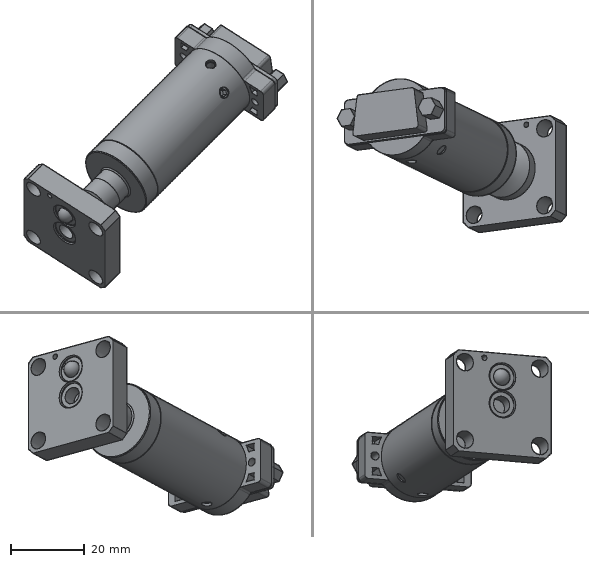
import cadquery as cq
import math


PLATE_SIDE = 28.5
PLATE_THICKNESS = 6.45
PLATE_CORNER_CHAMFER = 1.5
MOUNT_HOLE_DIAMETER = 4.8
MOUNT_HOLE_SPACING = 21.8
SMALL_HOLE_DIAMETER = 1.45
SMALL_HOLE_X = -5.25
SMALL_HOLE_Z = 12.6
HUB_RADIUS = 8.0
HUB_LENGTH = 3.2
ROD_RADIUS = 4.8
NECK_LENGTH = 5.2

BALL_RADIUS = 2.3
BALL_PROJECTION = 1.6
BALL_Z = 7.75
SOCKET_MOUTH_RADIUS = 3.55
SOCKET_MOUTH_DEPTH = 0.65
SOCKET_CHAMFER = 0.3
SOCKET_DEPTH = 4.8

HUB_CONE_Y = PLATE_THICKNESS + HUB_LENGTH
NECK_Y = HUB_CONE_Y + HUB_RADIUS - ROD_RADIUS
ROD_Y = NECK_Y + NECK_LENGTH
CAP_Y = 22.35
HOUSING_Y = 27.6
FLANGE_Y = 67.6
CONNECTOR_Y = 72.7
SHELL_Y = 73.8
SHELL_END_Y = 79.05

HOUSING_DIAMETER = 21.4
HOUSING_RADIUS = HOUSING_DIAMETER / 2
CAP_FRONT_CHAMFER = 0.25
CAP_BACK_CHAMFER = 0.2
CAP_LIP = 0.4

VENT_Y = 63.9
VENT_DIAMETER = 2.25
VENT_MOUTH_DIAMETER = 2.8
VENT_MOUTH_DEPTH = 0.8
SCREW_Y = 60.4
SCREW_DIAMETER = 3.1
SCREW_ANGLE = 45
SCREW_RECESS = 0.5
SCREW_SOCKET_FLATS = 1.9
SCREW_SOCKET_DEPTH = 1.6

EAR_SPAN = 31.0
EAR_HEIGHT = 13.0
EAR_RADIUS = 1.0
EAR_HOLE_DIAMETER = 2.25
EAR_POCKET_OUTER_X = 13.3
EAR_POCKET_LOW_Z = 3.3
EAR_POCKET_HIGH_Z = 5.4
EAR_POCKET_ARC_RADIUS = 11.9

CONNECTOR_HEIGHT = 12.6
CONNECTOR_CORNER_RADIUS = 1.3
SHELL_HEIGHT = 11.5
SHELL_MIDDLE_WIDTH = 18.95
SHELL_SIDE_ANGLE = 7
SHELL_CORNER_RADIUS = 0.8
NUT_X = 12.5
NUT_FLATS = 4.7
NUT_LENGTH = 4.75


def section(y):
    """Workplane across the axis at y; its local axes are X and Z, and -Y is its normal."""
    return cq.Workplane("XZ", origin=(0, y, 0))


def cylinder(radius, start, end):
    return section(start).circle(radius).extrude(start - end)


def revolve_about_y(profile):
    """Turn a profile of (radius, y) points around the main axis."""
    return cq.Workplane("XY").polyline(profile).close().revolve(360, (0, 0, 0), (0, 1, 0))


def hex_diameter(flats):
    """Corner-to-corner size of a hexagon with the given distance across flats."""
    return flats / math.cos(math.radians(30))


def make_socket(z):
    """Cutter for a blind hole with a chamfered shallow recess around its mouth."""
    socket = revolve_about_y([
        (0, 0),
        (SOCKET_MOUTH_RADIUS + SOCKET_CHAMFER, 0),
        (SOCKET_MOUTH_RADIUS, SOCKET_CHAMFER),
        (SOCKET_MOUTH_RADIUS, SOCKET_MOUTH_DEPTH),
        (BALL_RADIUS, SOCKET_MOUTH_DEPTH),
        (BALL_RADIUS, SOCKET_DEPTH),
        (0, SOCKET_DEPTH),
    ])
    return socket.translate((0, 0, z))


def make_tool_plate():
    plate = section(0).rect(PLATE_SIDE, PLATE_SIDE).extrude(-PLATE_THICKNESS)
    plate = plate.edges("|Y").chamfer(PLATE_CORNER_CHAMFER)
    neck = revolve_about_y([
        (0, PLATE_THICKNESS),
        (HUB_RADIUS, PLATE_THICKNESS),
        (HUB_RADIUS, HUB_CONE_Y),
        (ROD_RADIUS, NECK_Y),
        (ROD_RADIUS, ROD_Y),
        (0, ROD_Y),
    ])
    mount_holes = (
        section(0)
        .rect(MOUNT_HOLE_SPACING, MOUNT_HOLE_SPACING, forConstruction=True)
        .vertices()
        .circle(MOUNT_HOLE_DIAMETER / 2)
        .extrude(-PLATE_THICKNESS)
    )
    small_hole = (
        section(0)
        .center(SMALL_HOLE_X, SMALL_HOLE_Z)
        .circle(SMALL_HOLE_DIAMETER / 2)
        .extrude(-PLATE_THICKNESS)
    )
    plate = plate.union(neck).cut(mount_holes).cut(small_hole)
    for z in (0, BALL_Z):
        plate = plate.cut(make_socket(z))
    return plate


def make_ball():
    return cq.Workplane("XY").sphere(BALL_RADIUS).translate((0, BALL_RADIUS - BALL_PROJECTION, BALL_Z))


def make_rod():
    return cylinder(ROD_RADIUS, ROD_Y, HOUSING_Y)


def make_cap():
    cap = cylinder(HOUSING_RADIUS, CAP_Y, HOUSING_Y)
    cap = cap.faces("<Y").chamfer(CAP_FRONT_CHAMFER)
    cap = cap.faces(">Y").chamfer(CAP_BACK_CHAMFER)
    lip = revolve_about_y([
        (0, CAP_Y - CAP_LIP),
        (ROD_RADIUS, CAP_Y - CAP_LIP),
        (ROD_RADIUS + CAP_LIP, CAP_Y),
        (0, CAP_Y),
    ])
    return cap.union(lip).cut(make_rod())


def along_screw(solid):
    """Turn a solid built on the Z axis towards +X, +Z and move it to the set screw position."""
    return solid.rotate((0, 0, 0), (0, 1, 0), SCREW_ANGLE).translate((0, SCREW_Y, 0))


def make_housing():
    housing = cylinder(HOUSING_RADIUS, HOUSING_Y, FLANGE_Y)
    vent = (
        cq.Workplane("XY", origin=(0, VENT_Y, 0))
        .circle(VENT_DIAMETER / 2)
        .extrude(HOUSING_RADIUS, both=True)
    )
    screw_hole = cq.Workplane("XY").circle(SCREW_DIAMETER / 2).extrude(HOUSING_RADIUS, both=True)
    housing = housing.cut(vent).cut(along_screw(screw_hole))
    for side in (-1, 1):
        vent_mouth = (
            cq.Workplane("XY", origin=(0, VENT_Y, side * HOUSING_RADIUS))
            .circle(VENT_MOUTH_DIAMETER / 2)
            .extrude(-side * VENT_MOUTH_DEPTH)
        )
        housing = housing.cut(vent_mouth)
    return housing


def make_set_screw():
    """Long screw in the slanted hole, recessed at both ends, with a hexagonal key socket on top."""
    screw_top = HOUSING_RADIUS - SCREW_RECESS
    screw = (
        cq.Workplane("XY")
        .circle(SCREW_DIAMETER / 2)
        .extrude(screw_top, both=True)
    )
    key_socket = (
        cq.Workplane("XY", origin=(0, 0, screw_top))
        .polygon(6, hex_diameter(SCREW_SOCKET_FLATS))
        .extrude(-SCREW_SOCKET_DEPTH)
        .rotate((0, 0, 0), (0, 0, 1), 90)
    )
    return along_screw(screw.cut(key_socket))


def make_ear_pocket(side_x, side_z):
    """Pocket cutter whose inner side is an arc about the main axis."""
    low_x = math.sqrt(EAR_POCKET_ARC_RADIUS**2 - EAR_POCKET_LOW_Z**2)
    high_x = math.sqrt(EAR_POCKET_ARC_RADIUS**2 - EAR_POCKET_HIGH_Z**2)
    mid_z = (EAR_POCKET_LOW_Z + EAR_POCKET_HIGH_Z) / 2
    mid_x = math.sqrt(EAR_POCKET_ARC_RADIUS**2 - mid_z**2)
    return (
        section(FLANGE_Y)
        .moveTo(side_x * EAR_POCKET_OUTER_X, side_z * EAR_POCKET_LOW_Z)
        .lineTo(side_x * low_x, side_z * EAR_POCKET_LOW_Z)
        .threePointArc((side_x * mid_x, side_z * mid_z), (side_x * high_x, side_z * EAR_POCKET_HIGH_Z))
        .lineTo(side_x * EAR_POCKET_OUTER_X, side_z * EAR_POCKET_HIGH_Z)
        .close()
        .extrude(FLANGE_Y - CONNECTOR_Y)
    )


def make_flange():
    ears = section(FLANGE_Y).rect(EAR_SPAN, EAR_HEIGHT).extrude(FLANGE_Y - CONNECTOR_Y)
    flange = cylinder(HOUSING_RADIUS, FLANGE_Y, CONNECTOR_Y).union(ears)
    flange = flange.edges("|Y").fillet(EAR_RADIUS)
    for side_x in (-1, 1):
        bolt_hole = (
            section(FLANGE_Y)
            .center(side_x * NUT_X, 0)
            .circle(EAR_HOLE_DIAMETER / 2)
            .extrude(FLANGE_Y - CONNECTOR_Y)
        )
        flange = flange.cut(bolt_hole)
        for side_z in (-1, 1):
            flange = flange.cut(make_ear_pocket(side_x, side_z))
    return flange


def make_connector():
    base = section(CONNECTOR_Y).rect(EAR_SPAN, CONNECTOR_HEIGHT).extrude(CONNECTOR_Y - SHELL_Y)
    base = base.edges("|Y").fillet(CONNECTOR_CORNER_RADIUS)
    flare = SHELL_HEIGHT / 2 * math.tan(math.radians(SHELL_SIDE_ANGLE))
    top_x = SHELL_MIDDLE_WIDTH / 2 - flare
    bottom_x = SHELL_MIDDLE_WIDTH / 2 + flare
    shell = (
        section(SHELL_Y)
        .polyline([
            (-top_x, SHELL_HEIGHT / 2),
            (top_x, SHELL_HEIGHT / 2),
            (bottom_x, -SHELL_HEIGHT / 2),
            (-bottom_x, -SHELL_HEIGHT / 2),
        ])
        .close()
        .extrude(SHELL_Y - SHELL_END_Y)
        .edges("|Y")
        .fillet(SHELL_CORNER_RADIUS)
    )
    nuts = (
        section(SHELL_Y)
        .pushPoints([(-NUT_X, 0), (NUT_X, 0)])
        .polygon(6, hex_diameter(NUT_FLATS))
        .extrude(-NUT_LENGTH)
    )
    return base.union(shell).union(nuts)


tool_plate = make_tool_plate()
ball = make_ball()
rod = make_rod()
cap = make_cap()
housing = make_housing()
set_screw = make_set_screw()
flange = make_flange()
connector = make_connector()

result = cq.Compound.makeCompound([
    tool_plate.val(),
    ball.val(),
    rod.val(),
    cap.val(),
    housing.val(),
    set_screw.val(),
    flange.val(),
    connector.val(),
])